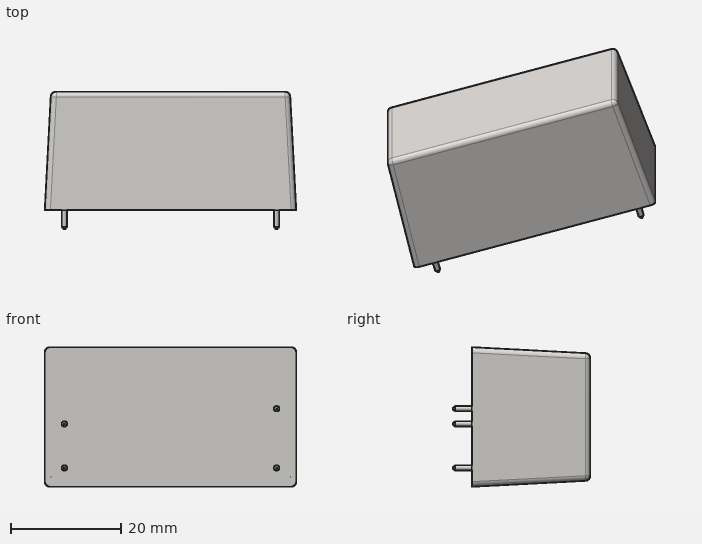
import cadquery as cq
import math

BASE_LENGTH = 45.68
BASE_HEIGHT = 25.38
CASE_DEPTH = 21.5
DRAFT_ANGLE = 3.0
EDGE_RADIUS = 1.0

PIN_DIAMETER = 1.0
PIN_LENGTH = 3.5
PIN_TIP_LENGTH = 0.5
PIN_TIP_DIAMETER = 0.2

PIN_COLUMN_SPACING = 38.5
LOWER_PIN_Z = -9.25
LEFT_PIN_PITCH = 8.0
RIGHT_PIN_PITCH = 10.75


def make_case():
    """Drafted block with rounded edges everywhere except around the flat base."""
    inset = CASE_DEPTH * math.tan(math.radians(DRAFT_ANGLE))
    case = (
        cq.Workplane("XZ")
        .rect(BASE_LENGTH, BASE_HEIGHT)
        .workplane(offset=-CASE_DEPTH)
        .rect(BASE_LENGTH - 2 * inset, BASE_HEIGHT - 2 * inset)
        .loft(ruled=True)
    )
    base_edges = cq.selectors.BoxSelector(
        (-BASE_LENGTH, -EDGE_RADIUS, -BASE_HEIGHT),
        (BASE_LENGTH, EDGE_RADIUS, BASE_HEIGHT),
    )
    return case.edges(cq.selectors.InverseSelector(base_edges)).fillet(EDGE_RADIUS)


def make_pin(x, z):
    """Round pin with a conical tip, rooted on the base at (x, z)."""
    shank_length = PIN_LENGTH - PIN_TIP_LENGTH
    profile = [
        (0, 0),
        (PIN_DIAMETER / 2, 0),
        (PIN_DIAMETER / 2, -shank_length),
        (PIN_TIP_DIAMETER / 2, -PIN_LENGTH),
        (0, -PIN_LENGTH),
    ]
    pin = cq.Workplane("XY").polyline(profile).close().revolve(360, (0, 0), (0, 1))
    return pin.translate((x, 0, z))


pin_column_x = PIN_COLUMN_SPACING / 2
pin_positions = [
    (-pin_column_x, LOWER_PIN_Z),
    (-pin_column_x, LOWER_PIN_Z + LEFT_PIN_PITCH),
    (pin_column_x, LOWER_PIN_Z),
    (pin_column_x, LOWER_PIN_Z + RIGHT_PIN_PITCH),
]

result = make_case()
for pin_x, pin_z in pin_positions:
    result = result.union(make_pin(pin_x, pin_z))